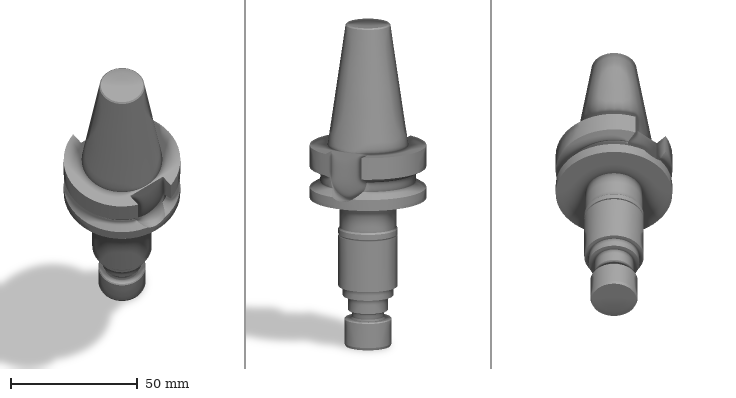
import cadquery as cq

total_height = 130.4
nut_top = 11.2
neck_top = 14.1
collar_top = 20.3
step_top = 24.3
sleeve_groove_bottom = 44.7
sleeve_groove_top = 45.4
sleeve_top = 48.1
flange_bottom = 59.9
lower_rim_top = 64.3
flange_groove_bottom = 66.6
flange_groove_top = 70.5
upper_rim_bottom = 72.5
flange_top = 81.2
taper_bottom = 81.6

nut_diameter = 18.6
neck_diameter = 12.6
collar_diameter = 15.8
step_diameter = 20.0
sleeve_diameter = 23.5
sleeve_groove_diameter = 21.0
shank_diameter = 22.4
flange_diameter = 46.0
flange_groove_diameter = 37.7
flange_land_diameter = 38.3
taper_large_diameter = 31.8
taper_small_diameter = 17.7

nut_bottom_chamfer = 0.4
nut_bottom_chamfer_height = 1.0
nut_top_chamfer = 0.4
collar_chamfer = 0.7
collar_chamfer_height = 0.4
neck_flare = 0.7
sleeve_chamfer_height = 0.7
taper_tip_chamfer = 0.5

slot_width = 16.0
slot_floor_distance = 16.3
slot_bottom = 63.0


def make_body():
    """Revolve the stepped holder profile about the Z axis."""
    diameter_heights = [
        (nut_diameter - 2 * nut_bottom_chamfer, 0),
        (nut_diameter, nut_bottom_chamfer_height),
        (nut_diameter, nut_top - nut_top_chamfer),
        (nut_diameter - 2 * nut_top_chamfer, nut_top),
        (neck_diameter + 2 * neck_flare, nut_top),
        (neck_diameter, nut_top + neck_flare),
        (neck_diameter, neck_top),
        (collar_diameter - 2 * collar_chamfer, neck_top),
        (collar_diameter, neck_top + collar_chamfer_height),
        (collar_diameter, collar_top),
        (step_diameter, collar_top),
        (step_diameter, step_top),
        (sleeve_diameter, step_top),
        (sleeve_diameter, sleeve_groove_bottom),
        (sleeve_groove_diameter, sleeve_groove_bottom),
        (sleeve_groove_diameter, sleeve_groove_top),
        (sleeve_diameter, sleeve_groove_top),
        (sleeve_diameter, sleeve_top - sleeve_chamfer_height),
        (shank_diameter, sleeve_top),
        (shank_diameter, flange_bottom),
        (flange_diameter, flange_bottom),
        (flange_diameter, lower_rim_top),
        (flange_land_diameter, flange_groove_bottom),
        (flange_groove_diameter, flange_groove_bottom),
        (flange_groove_diameter, flange_groove_top),
        (flange_land_diameter, flange_groove_top),
        (flange_diameter, upper_rim_bottom),
        (flange_diameter, flange_top),
        (taper_large_diameter, flange_top),
        (taper_large_diameter, taper_bottom),
        (taper_small_diameter, total_height - taper_tip_chamfer),
        (taper_small_diameter - 2 * taper_tip_chamfer, total_height),
    ]
    outline = [(diameter / 2, height) for diameter, height in diameter_heights]
    profile = cq.Workplane("XZ").polyline([(0, 0)] + outline + [(0, total_height)]).close()
    return profile.revolve(360, (0, 0, 0), (0, 1, 0))


def make_drive_slot():
    """Round-bottomed slot on the +X side, open outward and upward."""
    half_width = slot_width / 2
    arc_center_height = slot_bottom + half_width
    return (
        cq.Workplane("YZ", origin=(slot_floor_distance, 0, 0))
        .moveTo(-half_width, flange_top)
        .lineTo(-half_width, arc_center_height)
        .threePointArc((0, slot_bottom), (half_width, arc_center_height))
        .lineTo(half_width, flange_top)
        .close()
        .extrude(flange_diameter / 2)
    )


result = make_body()
for side_angle in (0, 180):
    drive_slot = make_drive_slot().rotate((0, 0, 0), (0, 0, 1), side_angle)
    result = result.cut(drive_slot)